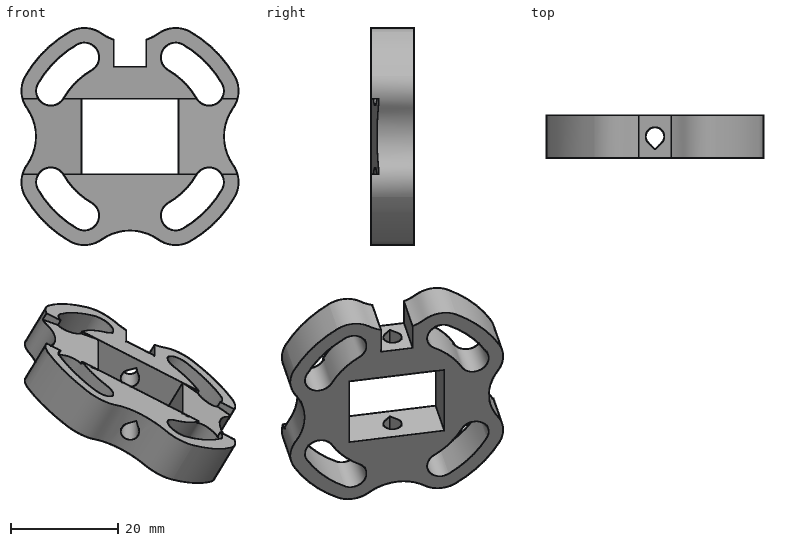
import cadquery as cq
import math

outer_size = 40.45
thickness = 8.0

ear_radius = 5.5
slot_radius = 2.73
slot_end_angles = (30, 60)
waist_distance = 17.5

window_width = 18.0
window_height = 14.0
notch_width = 6.0
notch_floor = 13.0
hole_radius = 1.7

channel_depth = 1.5

half_size = outer_size / 2
half_thickness = thickness / 2
ear_offset = half_size - ear_radius
pitch_radius = ear_offset / math.cos(math.radians(slot_end_angles[0]))
ear_side_offset = pitch_radius * math.sin(math.radians(slot_end_angles[0]))

waist_gap = waist_distance - ear_offset
scallop_radius = (ear_side_offset**2 + waist_gap**2 - ear_radius**2) / (2 * (ear_radius - waist_gap))
scallop_centre = waist_distance + scallop_radius
tangent_share = scallop_radius / (scallop_radius + ear_radius)
tangent_side = ear_side_offset * tangent_share
tangent_out = scallop_centre + (ear_offset - scallop_centre) * tangent_share


def polar(radius, angle):
    """Point at a radius and an angle in degrees."""
    radians = math.radians(angle)
    return (radius * math.cos(radians), radius * math.sin(radians))


def turn(point, angle):
    """Point turned about the origin by an angle in degrees."""
    x, z = point
    radians = math.radians(angle)
    return (
        x * math.cos(radians) - z * math.sin(radians),
        x * math.sin(radians) + z * math.cos(radians),
    )


def extrude_through(profile):
    """Extrude an XZ profile over the full plate thickness."""
    return profile.extrude(half_thickness, both=True)


def make_plate():
    """Four rounded ears joined by outer arcs and scalloped sides."""
    first_angle, last_angle = slot_end_angles
    middle_angle = (first_angle + last_angle) / 2
    outer_radius = pitch_radius + ear_radius
    side_start = (tangent_out, -tangent_side)
    profile = cq.Workplane("XZ").moveTo(*side_start)
    for quarter in range(4):
        turn_angle = 90 * quarter
        side_end = (tangent_out, tangent_side)
        ear_crest = (half_size, ear_side_offset)
        far_crest = (ear_side_offset, half_size)
        next_side = (tangent_side, tangent_out)
        arcs = (
            ((waist_distance, 0), side_end),
            (ear_crest, polar(outer_radius, first_angle)),
            (polar(outer_radius, middle_angle), polar(outer_radius, last_angle)),
            (far_crest, next_side),
        )
        for middle, end in arcs:
            profile = profile.threePointArc(turn(middle, turn_angle), turn(end, turn_angle))
    return extrude_through(profile.close())


def make_slot(turn_angle):
    """Curved slot with round ends, turned about the plate centre."""
    first_angle, last_angle = (angle + turn_angle for angle in slot_end_angles)
    middle_angle = (first_angle + last_angle) / 2
    inner_radius = pitch_radius - slot_radius
    outer_radius = pitch_radius + slot_radius
    profile = (
        cq.Workplane("XZ")
        .moveTo(*polar(outer_radius, first_angle))
        .threePointArc(polar(outer_radius, middle_angle), polar(outer_radius, last_angle))
        .lineTo(*polar(inner_radius, last_angle))
        .threePointArc(polar(inner_radius, middle_angle), polar(inner_radius, first_angle))
        .close()
    )
    slot = extrude_through(profile)
    for angle in (first_angle, last_angle):
        slot_end = cq.Workplane("XZ").center(*polar(pitch_radius, angle)).circle(slot_radius)
        slot = slot.union(extrude_through(slot_end))
    return slot


def make_window():
    """Rectangular opening through the plate."""
    return cq.Workplane("XY").box(window_width, thickness, window_height)


def make_notch():
    """Square notch open at the top side."""
    return cq.Workplane("XY").box(
        notch_width, thickness, half_size - notch_floor, centered=(True, True, False)
    ).translate((0, 0, notch_floor))


def make_teardrop_hole():
    """Vertical hole, round with a 45 degree point toward the front face."""
    flank = hole_radius * math.sqrt(0.5)
    tip = hole_radius * math.sqrt(2)
    return (
        cq.Workplane("XY")
        .moveTo(-flank, -flank)
        .threePointArc((0, hole_radius), (flank, -flank))
        .lineTo(0, -tip)
        .close()
        .extrude(half_size, both=True)
    )


def make_channel_wedge(side):
    """Half of the sloped channel, on the side given by the sign along X."""
    front = -half_thickness
    points = [
        (side * window_width / 2, front),
        (side * half_size, front),
        (side * half_size, front + channel_depth),
    ]
    return cq.Workplane("XY").polyline(points).close().extrude(window_height / 2, both=True)


result = make_plate()
for turn_angle in (0, 90, 180, 270):
    result = result.cut(make_slot(turn_angle))
result = result.cut(make_window())
result = result.cut(make_notch())
result = result.cut(make_teardrop_hole())
for side in (-1, 1):
    result = result.cut(make_channel_wedge(side))